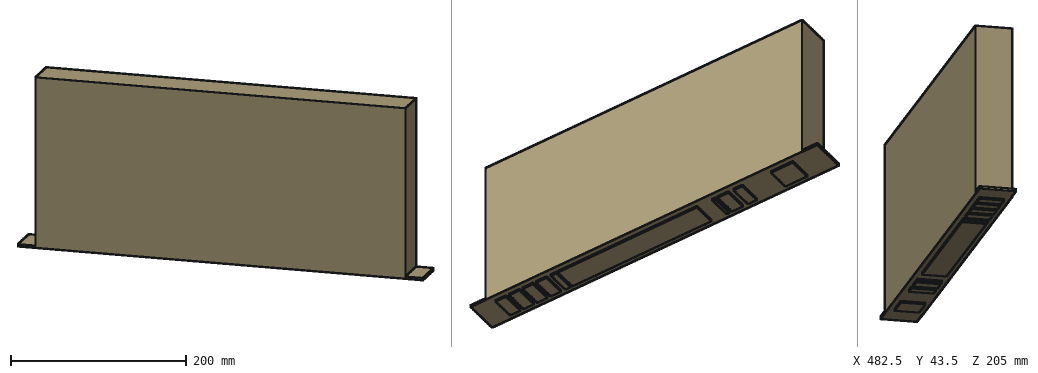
import cadquery as cq

panel_length = 482.5
total_depth = 43.5
total_height = 205.0

ear_length = 20.8
panel_thickness = 3.0
panel_setback = 0.5

pad_height = 2.0
pad_width = 29.0

single_pads = [
    (-187.2, 30.5),
    (-126.0, 12.5),
    (-105.0, 15.5),
    (-92.0, 4.0),
    (28.0, 194.0),
    (131.0, 7.5),
]

row_pad_count = 4
row_pad_length = 14.5
row_pad_pitch = 19.0
row_start_x = 147.5

case_length = panel_length - 2 * ear_length
case_height = total_height - pad_height
panel_depth = total_depth - panel_setback
panel_centre_y = -panel_setback / 2


def block(length, depth, height, x, y, bottom):
    """Box centred at (x, y), with its lower face at the given height."""
    box = cq.Workplane("XY").box(length, depth, height, centered=(True, True, False))
    return box.translate((x, y, bottom))


def pad(x, length):
    """Pad below the panel, carried up through it so the two join."""
    return block(length, pad_width, pad_height + panel_thickness, x, 0, 0)


case = block(case_length, total_depth, case_height, 0, 0, pad_height)
panel = block(panel_length, panel_depth, panel_thickness, 0, panel_centre_y, pad_height)
result = case.union(panel)

for centre_x, length in single_pads:
    result = result.union(pad(centre_x, length))

for index in range(row_pad_count):
    result = result.union(pad(row_start_x + index * row_pad_pitch, row_pad_length))